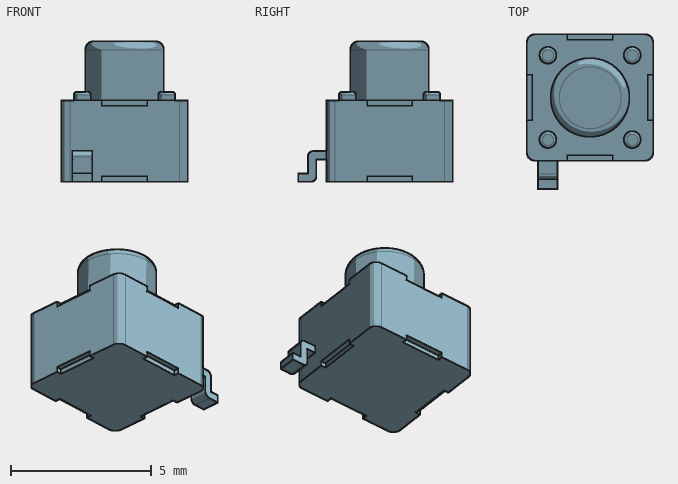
import cadquery as cq

body_side = 4.5
body_height = 2.9
corner_radius = 0.3

notch_width = 1.6
notch_depth = 0.2
notch_height = 0.2

total_height = 5.0
button_diameter = 2.8
button_fillet = 0.3

peg_diameter = 0.6
peg_height = 0.3
peg_fillet = 0.1
peg_pitch = 3.0

total_length = 5.5
lead_width = 0.7
lead_thickness = 0.3
lead_top = 1.1
lead_drop_offset = 0.35
lead_bend_radius = 0.2


def make_housing():
    housing = (
        cq.Workplane("XY")
        .rect(body_side, body_side)
        .extrude(body_height)
        .edges("|Z")
        .fillet(corner_radius)
    )
    notch_y = -(body_side - notch_depth) / 2
    for notch_z in (notch_height / 2, body_height - notch_height / 2):
        notch = cq.Workplane("XY").box(notch_width, notch_depth, notch_height)
        notch = notch.translate((0, notch_y, notch_z))
        for angle in (0, 90, 180, 270):
            housing = housing.cut(notch.rotate((0, 0, 0), (0, 0, 1), angle))
    return housing


def make_button():
    return (
        cq.Workplane("XY", origin=(0, 0, body_height))
        .circle(button_diameter / 2)
        .extrude(total_height - body_height)
        .faces(">Z")
        .edges()
        .fillet(button_fillet)
    )


def make_pegs():
    return (
        cq.Workplane("XY", origin=(0, 0, body_height))
        .rect(peg_pitch, peg_pitch, forConstruction=True)
        .vertices()
        .circle(peg_diameter / 2)
        .extrude(peg_height)
        .faces(">Z")
        .edges()
        .fillet(peg_fillet)
    )


def make_lead():
    wall_y = -body_side / 2
    leg_inner_y = wall_y - lead_drop_offset
    leg_outer_y = leg_inner_y - lead_thickness
    tip_y = body_side / 2 - total_length
    profile = [
        (wall_y, lead_top),
        (leg_outer_y, lead_top),
        (leg_outer_y, lead_thickness),
        (tip_y, lead_thickness),
        (tip_y, 0),
        (leg_inner_y, 0),
        (leg_inner_y, lead_top - lead_thickness),
        (wall_y, lead_top - lead_thickness),
    ]
    lead = (
        cq.Workplane("YZ", origin=(-peg_pitch / 2, 0, 0))
        .polyline(profile)
        .close()
        .extrude(lead_width / 2, both=True)
    )
    upper_bend = cq.NearestToPointSelector((-peg_pitch / 2, leg_outer_y, lead_top))
    lower_bend = cq.NearestToPointSelector((-peg_pitch / 2, leg_inner_y, 0))
    lead = lead.edges("|X").edges(upper_bend).fillet(lead_bend_radius)
    return lead.edges("|X").edges(lower_bend).fillet(lead_bend_radius)


result = make_housing().union(make_button()).union(make_pegs()).union(make_lead())